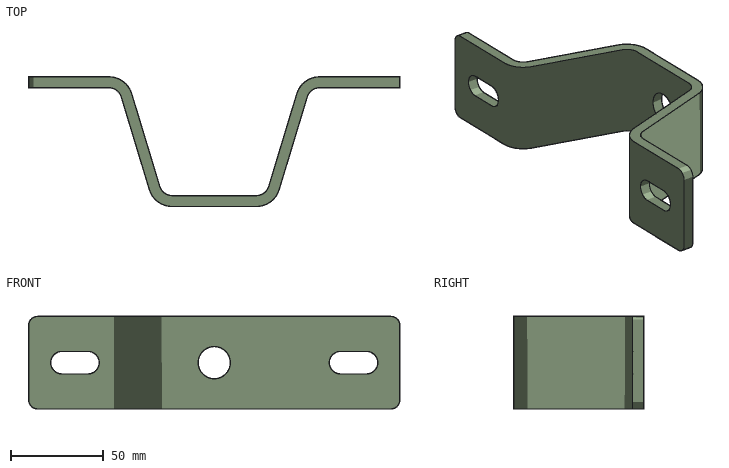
import cadquery as cq

length = 200.0
depth = 70.0
height = 50.0
thickness = 6.0

front_corner_x = 30.0
flange_corner_x = 49.5
inner_bend_radius = 7.0
center_bend_radius = inner_bend_radius + thickness / 2

corner_radius = 5.0
slot_length = 26.0
slot_width = 12.0
slot_x = 75.0
hole_diameter = 17.2


def strip_centerline():
    """Centre line of the hat-shaped strip, with every bend rounded."""
    front_y = -depth / 2 + thickness / 2
    flange_y = depth / 2 - thickness / 2
    corners = [
        (-length / 2, flange_y),
        (-flange_corner_x, flange_y),
        (-front_corner_x, front_y),
        (front_corner_x, front_y),
        (flange_corner_x, flange_y),
        (length / 2, flange_y),
    ]
    sharp = cq.Wire.makePolygon([cq.Vector(x, y, 0) for x, y in corners])
    bends = sharp.Vertices()[1:-1]
    return sharp.fillet2D(center_bend_radius, bends)


def bent_strip():
    """Sweep the strip's rectangular section along the centre line."""
    section = cq.Workplane("YZ", origin=(-length / 2, depth / 2 - thickness / 2, 0))
    section = section.rect(thickness, height)
    return section.sweep(cq.Workplane(obj=strip_centerline()))


def through_cut(sketch):
    """Extrude a sketch on the XZ plane through the whole depth."""
    return sketch.extrude(depth, both=True)


result = bent_strip()

result = result.faces("<X or >X").edges("|Y").fillet(corner_radius)

slots = cq.Workplane("XZ").pushPoints([(-slot_x, 0), (slot_x, 0)]).slot2D(slot_length, slot_width)
result = result.cut(through_cut(slots))

hole = cq.Workplane("XZ").circle(hole_diameter / 2)
result = result.cut(through_cut(hole))